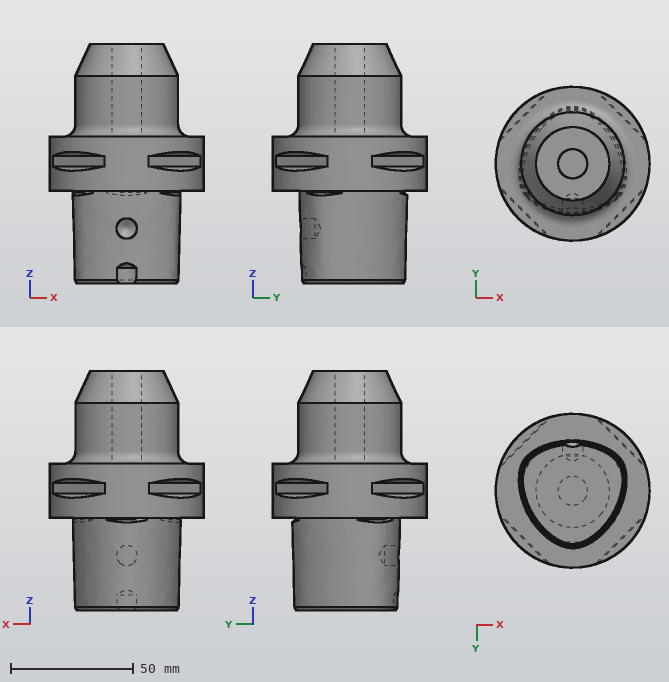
import cadquery as cq
import math

total_height = 98.0
flange_bottom = 37.9
flange_top = 60.1
cone_start = 84.9

flange_diameter = 63.0
flange_radius = flange_diameter / 2
neck_radius = 21.1
nose_radius = 15.0
neck_fillet = 4.9
bore_radius = 6.0
bore_depth = total_height - flange_top

notch_count = 4
notch_half_width = 15.0
notch_floor_height = 4.3
notch_mouth_height = 7.7
notch_wall_depth = 0.5
notch_level = 50.0

lobe_count = 3
lobe_height = 1.5
shank_radius = 22.05
taper_top = 34.9
taper_per_length = 0.025
chamfer_height = 1.5
chamfer_inset = 0.9
curve_points = 72

relief_radius = 22.2
relief_wall = 0.93
relief_slope = math.radians(37)
relief_blend = 0.34

drill_diameter = 8.3
drill_radius = drill_diameter / 2
drill_tip_slope = math.radians(31)
drill_tip_height = drill_radius * math.tan(drill_tip_slope)
drill_level = 22.5
drill_depth = 7.8

slot_radius = 5.6
slot_axis = 23.5
slot_height = 6.4
slot_tip_slope = math.radians(45)
slot_tip_height = slot_radius * math.tan(slot_tip_slope)


def lobed_wire(mean_radius, level):
    """Constant-width curve whose distance to its tangent lines varies by the lobe height."""
    points = []
    for step in range(curve_points):
        angle = 2 * math.pi * step / curve_points
        reach = mean_radius - lobe_height * math.sin(lobe_count * angle)
        slide = -lobe_count * lobe_height * math.cos(lobe_count * angle)
        x = reach * math.cos(angle) - slide * math.sin(angle)
        y = reach * math.sin(angle) + slide * math.cos(angle)
        points.append(cq.Vector(x, y, level))
    return cq.Wire.assembleEdges([cq.Edge.makeSpline(points, periodic=True)])


def lobed_solid(lower_radius, lower_level, upper_radius, upper_level):
    """Straight-sided body between two lobed curves."""
    lower = lobed_wire(lower_radius, lower_level)
    upper = lobed_wire(upper_radius, upper_level)
    return cq.Workplane(cq.Solid.makeLoft([lower, upper], True))


def make_upper_body():
    """Flange, neck and tapered nose turned in one piece, with a blind bore in the nose."""
    arc_inset = neck_fillet * (1 - math.sqrt(0.5))
    body = (
        cq.Workplane("XZ")
        .moveTo(0, flange_bottom)
        .lineTo(flange_radius, flange_bottom)
        .lineTo(flange_radius, flange_top)
        .lineTo(neck_radius + neck_fillet, flange_top)
        .threePointArc(
            (neck_radius + arc_inset, flange_top + arc_inset),
            (neck_radius, flange_top + neck_fillet),
        )
        .lineTo(neck_radius, cone_start)
        .lineTo(nose_radius, total_height)
        .lineTo(0, total_height)
        .close()
        .revolve(360, (0, 0, 0), (0, 1, 0))
    )
    bore = cq.Workplane("XY", origin=(0, 0, total_height)).circle(bore_radius).extrude(-bore_depth)
    return body.cut(bore)


def make_notch():
    """Flat-floored groove on the +X side of the flange, with short straight walls and flared sides."""
    floor = math.sqrt(flange_radius**2 - notch_half_width**2)
    half_floor = notch_floor_height / 2
    half_mouth = notch_mouth_height / 2
    return (
        cq.Workplane("XZ", origin=(0, 0, notch_level))
        .polyline([
            (floor, -half_floor),
            (floor + notch_wall_depth, -half_floor),
            (flange_radius, -half_mouth),
            (flange_radius, half_mouth),
            (floor + notch_wall_depth, half_floor),
            (floor, half_floor),
        ])
        .close()
        .extrude(flange_radius, both=True)
    )


def make_relief():
    """Ring cut around the shank; the blend is tangent to both the cylinder and the cone."""
    corner_level = flange_bottom - relief_wall
    blend_end_radius = relief_radius + relief_blend * math.cos(relief_slope)
    blend_end_level = corner_level - relief_blend * math.sin(relief_slope)
    rim_level = corner_level - (flange_radius - relief_radius) * math.tan(relief_slope)
    return (
        cq.Workplane("XZ")
        .moveTo(relief_radius, flange_bottom)
        .lineTo(relief_radius, corner_level + relief_blend)
        .tangentArcPoint((blend_end_radius, blend_end_level), relative=False)
        .lineTo(flange_radius, rim_level)
        .lineTo(flange_radius, flange_bottom)
        .close()
        .revolve(360, (0, 0, 0), (0, 1, 0))
    )


def make_shank():
    """Chamfered end, tapered length and straight collar, with the lobes relieved at the flange."""
    tip_radius = shank_radius - taper_per_length * (taper_top - chamfer_height)
    chamfer = lobed_solid(tip_radius - chamfer_inset, 0, tip_radius, chamfer_height)
    taper = lobed_solid(tip_radius, chamfer_height, shank_radius, taper_top)
    collar = lobed_solid(shank_radius, taper_top, shank_radius, flange_bottom)
    return chamfer.union(taper).union(collar.cut(make_relief()))


def make_drill(radius, length, tip_height):
    """Pointed drill shape along +Z, starting at the origin; the tip lies beyond the length."""
    return (
        cq.Workplane("XZ")
        .moveTo(0, 0)
        .lineTo(radius, 0)
        .lineTo(radius, length)
        .lineTo(0, length + tip_height)
        .close()
        .revolve(360, (0, 0, 0), (0, 1, 0))
    )


result = make_upper_body().union(make_shank())

for index in range(notch_count):
    notch_angle = 360 / notch_count * (index + 0.5)
    result = result.cut(make_notch().rotate((0, 0, 0), (0, 0, 1), notch_angle))

radial_hole = make_drill(drill_radius, drill_depth, drill_tip_height)
radial_hole = radial_hole.rotate((0, 0, 0), (1, 0, 0), -90)
result = result.cut(radial_hole.translate((0, -shank_radius, drill_level)))

coding_slot = make_drill(slot_radius, slot_height, slot_tip_height)
result = result.cut(coding_slot.translate((0, -slot_axis, 0)))